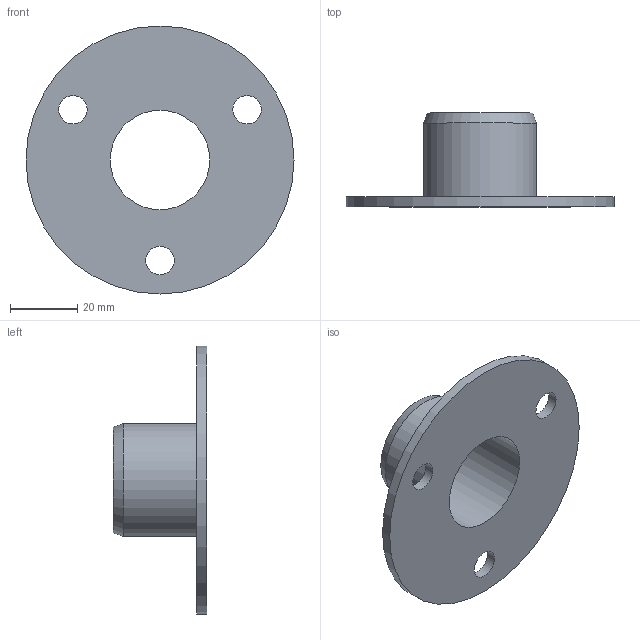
import cadquery as cq
import math

flange_diameter = 80.0
flange_thickness = 3.0

overall_length = 28.0
hub_diameter = 33.7
bore_diameter = 29.7

taper_length = 3.0
taper_angle = 20.0
taper_depth = taper_length * math.tan(math.radians(taper_angle))

hole_diameter = 8.5
hole_circle_radius = 30.0
hole_count = 3
first_hole_angle = -90.0


def revolved_body():
    """Flange, hub, taper and bore as one profile turned about the Y axis."""
    bore_radius = bore_diameter / 2
    hub_radius = hub_diameter / 2
    flange_radius = flange_diameter / 2
    profile = [
        (bore_radius, 0),
        (flange_radius, 0),
        (flange_radius, flange_thickness),
        (hub_radius, flange_thickness),
        (hub_radius, overall_length - taper_length),
        (hub_radius - taper_depth, overall_length),
        (bore_radius, overall_length),
    ]
    return cq.Workplane("XY").polyline(profile).close().revolve(360, (0, 0, 0), (0, 1, 0))


def mounting_holes():
    """Cylinders that pierce the flange at the mounting hole positions."""
    return (
        cq.Workplane("XZ")
        .polarArray(hole_circle_radius, first_hole_angle, 360, hole_count)
        .circle(hole_diameter / 2)
        .extrude(-flange_thickness)
    )


result = revolved_body().cut(mounting_holes())